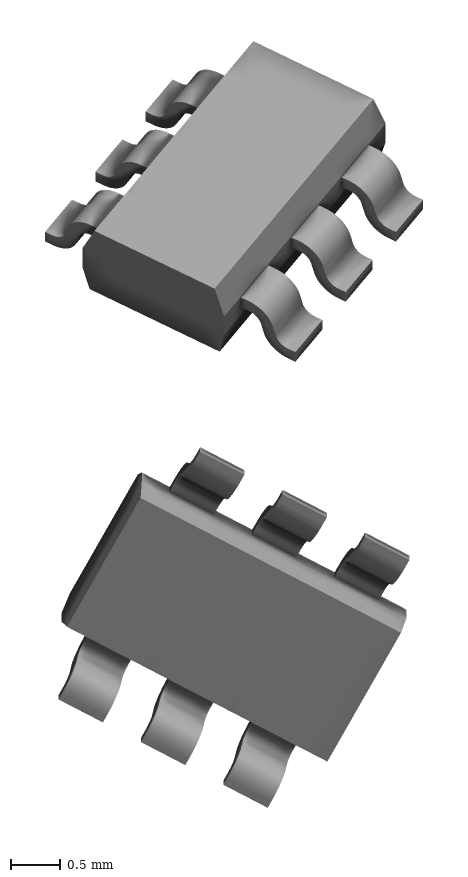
import cadquery as cq
import math

span_x = 3.0
package_height = 0.94

belt_width = 1.70
belt_length = 3.05
taper_height = 0.325
top_inset_x = 0.13
bottom_inset_x = 0.07
end_inset_y = 0.025
belt_bottom = taper_height
belt_top = package_height - taper_height

leads_per_side = 3
lead_pitch = 0.95
lead_width = 0.51
lead_thickness = 0.15
lead_top = 0.595
inner_radius = 0.15
outer_radius = inner_radius + lead_thickness
bend_angle = 74
foot_length = 0.09

marker_diameter = 0.085
marker_depth = 0.02
marker_x = -0.535
marker_y = lead_pitch


def tapered_block(base_z, height, inset_x):
    """Frustum from the belt outline at base_z to the inset outline; a negative height points down."""
    return (
        cq.Workplane("XY")
        .workplane(offset=base_z)
        .rect(belt_width, belt_length)
        .workplane(offset=height)
        .rect(belt_width - 2 * inset_x, belt_length - 2 * end_inset_y)
        .loft(ruled=True)
    )


def make_marker():
    return (
        cq.Workplane("XY")
        .workplane(offset=package_height - marker_depth)
        .center(marker_x, marker_y)
        .circle(marker_diameter / 2)
        .extrude(marker_depth)
    )


def make_package(marker):
    belt = (
        cq.Workplane("XY")
        .workplane(offset=belt_bottom)
        .rect(belt_width, belt_length)
        .extrude(belt_top - belt_bottom)
    )
    cap = tapered_block(belt_top, taper_height, top_inset_x)
    base = tapered_block(belt_bottom, -taper_height, bottom_inset_x)
    return belt.union(cap).union(base).cut(marker)


def make_lead(side, y):
    """Lead on the +X (side = 1) or -X (side = -1) wall of the package, centred on y."""
    wall_x = belt_width / 2
    tip_x = span_x / 2
    angle = math.radians(bend_angle)

    foot_x = tip_x - foot_length
    foot_z = lead_thickness + inner_radius
    shoulder_z = lead_top - outer_radius

    bend_reach = inner_radius + outer_radius
    shank_rise = shoulder_z - foot_z + bend_reach * math.cos(angle)
    shank_run = shank_rise / math.tan(angle)
    shoulder_x = foot_x - bend_reach * math.sin(angle) - shank_run

    def foot_point(radius, turn):
        return (side * (foot_x - radius * math.sin(turn)), foot_z - radius * math.cos(turn))

    def shoulder_point(radius, turn):
        return (side * (shoulder_x + radius * math.sin(turn)), shoulder_z + radius * math.cos(turn))

    profile = (
        cq.Workplane("XZ", origin=(0, y + lead_width / 2, 0))
        .moveTo(side * wall_x, lead_top)
        .lineTo(*shoulder_point(outer_radius, 0))
        .threePointArc(shoulder_point(outer_radius, angle / 2), shoulder_point(outer_radius, angle))
        .lineTo(*foot_point(inner_radius, angle))
        .threePointArc(foot_point(inner_radius, angle / 2), foot_point(inner_radius, 0))
        .lineTo(side * tip_x, lead_thickness)
        .lineTo(side * tip_x, 0)
        .lineTo(*foot_point(outer_radius, 0))
        .threePointArc(foot_point(outer_radius, angle / 2), foot_point(outer_radius, angle))
        .lineTo(*shoulder_point(inner_radius, angle))
        .threePointArc(shoulder_point(inner_radius, angle / 2), shoulder_point(inner_radius, 0))
        .lineTo(side * wall_x, lead_top - lead_thickness)
        .close()
    )
    return profile.extrude(lead_width)


marker = make_marker()
package = make_package(marker)

leads = []
for side in (-1, 1):
    for index in range(leads_per_side):
        lead_y = (index - (leads_per_side - 1) / 2) * lead_pitch
        leads.append(make_lead(side, lead_y))

result = cq.Compound.makeCompound([package.val(), marker.val(), *[lead.val() for lead in leads]])